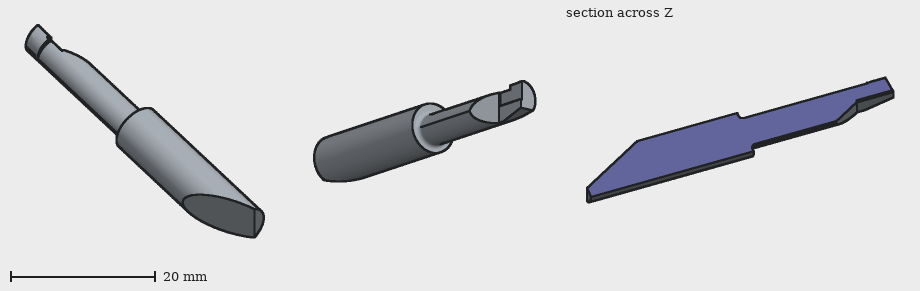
import cadquery as cq
import math

length = 45.5
shank_radius = 3.5
shoulder_x = 21.6
shank_end_y = 1.8
slant_angle = 30.0

neck_radius = 2.45
neck_offset = 0.6
neck_fillet = 0.6

head_length = 2.95
head_rise_front = 0.115
head_rise_back = -0.025
crest_drop = 0.03
tip_setback = 0.27
heel_z = -1.3
heel_angle = 15.0

rake_y = 0.205
rake_step_y = -0.05
rake_step_z = -0.07
runout_x = 9.25

slant_slope = math.tan(math.radians(slant_angle))
heel_slope = math.tan(math.radians(heel_angle))
margin = 2 * shank_radius


def disc(x, z, radius):
    return cq.Workplane("YZ", origin=(x, 0, z)).circle(radius)


def vertical_prism(points):
    """Extrude an XY outline through the full height of the bar."""
    return cq.Workplane("XY").polyline(points).close().extrude(margin, both=True)


def make_shank():
    shank = disc(shoulder_x, 0, shank_radius).extrude(length - shoulder_x)
    slant_start_x = length - (shank_end_y + margin) / slant_slope
    return shank.cut(vertical_prism([
        (length, shank_end_y),
        (slant_start_x, -margin),
        (length, -margin),
    ]))


def flared_rod(axis_z):
    """Round rod that flares out through a concave fillet at the shoulder."""
    flare_start_x = shoulder_x - neck_fillet
    return (
        cq.Workplane("XY", origin=(0, 0, axis_z))
        .moveTo(head_length, 0)
        .lineTo(head_length, neck_radius)
        .lineTo(flare_start_x, neck_radius)
        .radiusArc((shoulder_x, neck_radius + neck_fillet), -neck_fillet)
        .lineTo(shoulder_x, 0)
        .close()
        .revolve(360, (0, 0), (1, 0))
    )


def make_neck():
    """Common part of two equal rods, one dropped below the other."""
    return flared_rod(0).intersect(flared_rod(-neck_offset))


def make_head():
    """Round lower half topped by a cylinder that falls away from the tip."""
    axis_drop = head_rise_front - head_rise_back
    lower = disc(0, 0, neck_radius).extrude(head_length)
    crest_front_z = neck_radius + head_rise_front - crest_drop
    upper_zone = (
        cq.Workplane("XZ")
        .polyline([
            (0, 0),
            (0, crest_front_z),
            (head_length, crest_front_z - axis_drop),
            (head_length, 0),
        ])
        .close()
        .extrude(margin, both=True)
    )
    upper = (
        disc(0, head_rise_front, neck_radius)
        .workplane(offset=head_length)
        .center(0, -axis_drop)
        .circle(neck_radius)
        .loft()
    )
    return lower.cut(upper_zone).union(upper.intersect(upper_zone))


def rake_cut():
    """Flat along the tip that ramps out to the far side of the neck."""
    ramp_start_x = runout_x - (neck_radius - rake_y) / slant_slope
    ramp_end_x = runout_x + (margin - neck_radius) / slant_slope
    flat = vertical_prism([
        (-margin, rake_y),
        (ramp_start_x, rake_y),
        (ramp_end_x, margin),
        (-margin, margin),
    ])
    step = cq.Workplane("XY", origin=(0, rake_step_y, rake_step_z)).box(
        ramp_start_x, margin, margin, centered=False
    )
    return flat.union(step)


def tip_face_cut():
    lean = tip_setback / (neck_radius + rake_y)
    return vertical_prism([
        (0, rake_y),
        (lean * (margin + rake_y), -margin),
        (-margin, -margin),
        (-margin, rake_y),
    ])


def heel_cut():
    """Clearance slope under the tip."""
    outline = [
        (0, heel_z),
        ((margin + heel_z) / heel_slope, -margin),
        (0, -margin),
    ]
    return cq.Workplane("XZ").polyline(outline).close().extrude(margin, both=True)


result = make_shank().union(make_neck()).union(make_head())
result = result.cut(rake_cut()).cut(tip_face_cut()).cut(heel_cut())